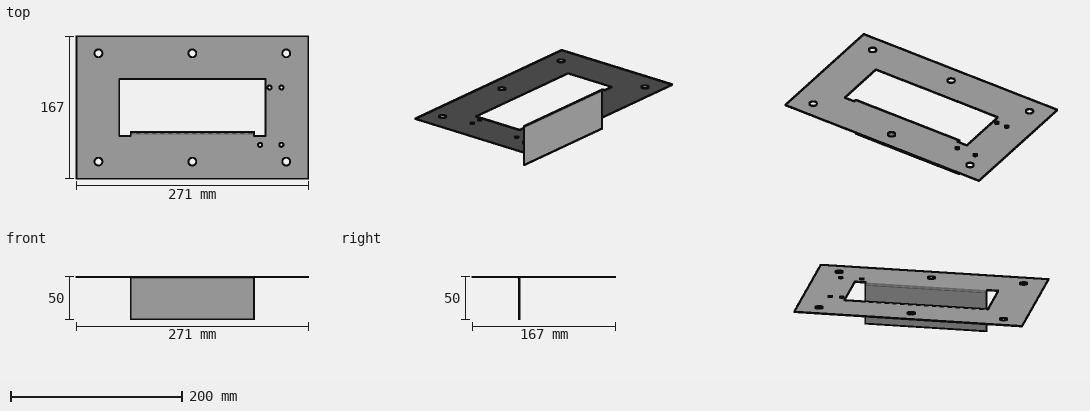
import cadquery as cq

plate_length = 271.0
plate_width = 167.0
thickness = 1.0
total_height = 50.0

window_length = 170.7
window_width = 66.0

flange_length = 144.5
flange_back_y = -28.5
bend_inner_radius = thickness
bend_outer_radius = bend_inner_radius + thickness
bend_start_y = flange_back_y - bend_outer_radius

mount_diameter = 9.0
mount_pitch_x = 109.8
mount_pitch_y = 126.5

small_diameter = 4.5
small_back_y = 23.3
small_front_y = -43.5
small_outer_x = 104.0
small_hole_centers = [
    (90.2, small_back_y),
    (small_outer_x, small_back_y),
    (79.0, small_front_y),
    (small_outer_x, small_front_y),
]


def make_plate():
    """Flat plate with its window and all holes cut through."""
    return (
        cq.Workplane("XY")
        .workplane(offset=-thickness)
        .rect(plate_length, plate_width)
        .rect(window_length, window_width)
        .rarray(mount_pitch_x, mount_pitch_y, 3, 2)
        .circle(mount_diameter / 2)
        .pushPoints(small_hole_centers)
        .circle(small_diameter / 2)
        .extrude(thickness)
    )


def make_flange():
    """Short tab at plate level, a 90 degree bend and a vertical leg."""
    root_y = -window_width / 2
    profile = (
        cq.Workplane("YZ")
        .moveTo(root_y, 0)
        .lineTo(bend_start_y, 0)
        .radiusArc((flange_back_y, -bend_outer_radius), bend_outer_radius)
        .lineTo(flange_back_y, -total_height)
        .lineTo(flange_back_y - thickness, -total_height)
        .lineTo(flange_back_y - thickness, -bend_outer_radius)
        .radiusArc((bend_start_y, -thickness), -bend_inner_radius)
        .lineTo(root_y, -thickness)
        .close()
    )
    return profile.extrude(flange_length / 2, both=True)


result = make_plate().union(make_flange())